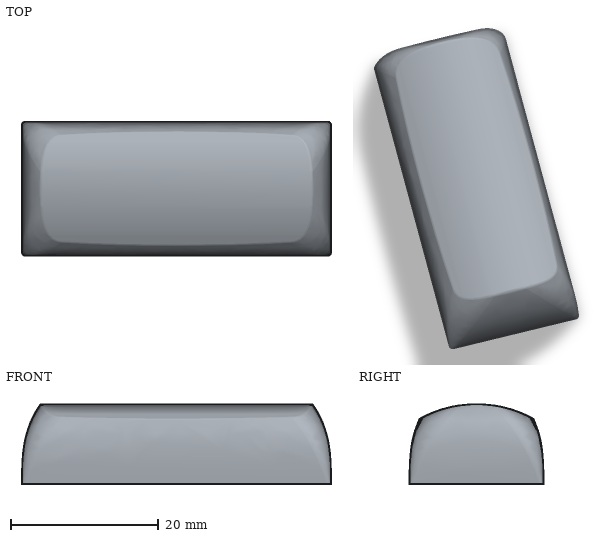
import cadquery as cq
import math

length = 42.0
width = 18.25
height = 10.9

wall_lean = 2.55
side_bow = 0.6
end_bow = 0.15
base_corner = 0.55
top_corner = 4.6
arc_handle = 4 / 3 * math.tan(math.pi / 8)

crown_radius = 15.75
edge_fillet = 0.5

section_gaps = 4
trim_margin = 0.85
loft_height = height + trim_margin


def wall_section(z):
    """Closed outline of the walls at height z: four bowed walls joined by four rounded corners."""
    rise = z / height
    lean = wall_lean * rise**3
    bow_y = side_bow * rise**3
    bow_x = end_bow * rise**3
    corner = base_corner + (top_corner - base_corner) * rise

    end_x = length / 2 - lean
    side_y = width / 2 - lean
    seam_x = end_x - corner
    seam_y = side_y - corner
    corner_x = end_x - bow_x
    corner_y = side_y - bow_y

    handle_x = arc_handle * (corner_x - seam_x)
    handle_y = arc_handle * (corner_y - seam_y)
    side_slope = 2 * bow_y / seam_x
    end_slope = 2 * bow_x / seam_y
    corner_points = [
        (seam_x, corner_y),
        (seam_x + handle_x, corner_y - side_slope * handle_x),
        (corner_x - end_slope * handle_y, seam_y + handle_y),
        (corner_x, seam_y),
    ]
    side_points = [(-seam_x, corner_y), (0, corner_y + 2 * bow_y), (seam_x, corner_y)]
    end_points = [(corner_x, seam_y), (corner_x + 2 * bow_x, 0), (corner_x, -seam_y)]

    def bezier(points, sign_x, sign_y):
        return cq.Edge.makeBezier([cq.Vector(sign_x * x, sign_y * y, z) for x, y in points])

    edges = []
    for sign in (1, -1):
        edges += [
            bezier(side_points, sign, sign),
            bezier(corner_points, sign, sign),
            bezier(end_points, sign, sign),
            bezier(corner_points[::-1], sign, -sign),
        ]
    return cq.Wire.assembleEdges(edges)


def make_walls():
    heights = [loft_height * i / section_gaps for i in range(section_gaps + 1)]
    return cq.Workplane(cq.Solid.makeLoft([wall_section(z) for z in heights]))


def make_crown():
    """Cylinder whose highest line is the top of the part."""
    return (
        cq.Workplane("YZ")
        .center(0, height - crown_radius)
        .circle(crown_radius)
        .extrude(length, both=True)
    )


capped = make_walls().intersect(make_crown())
result = capped.faces(">Z").edges().fillet(edge_fillet)